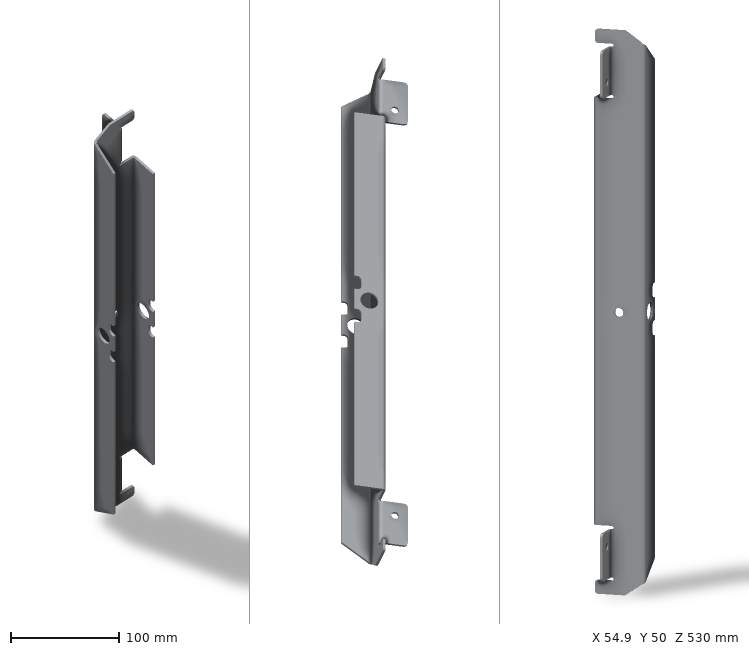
import cadquery as cq
import math

thickness = 2.5
inner_radius = 1.0
outer_radius = inner_radius + thickness
length = 530.0
depth = 50.0
flange_reach = 30.0
tab_reach = 24.85
half_length = length / 2

slant_slope = 0.67
slant_start_y = 19.2

tab_bottom = 204.0
tab_top = 249.0
tab_face_y = 35.0
tab_bend_y = tab_face_y - outer_radius
tab_corner_radius = 4.0
tab_hole_diameter = 7.0
tab_hole_x = -12.5
tab_hole_z = 218.0

notch_bottom = 200.5
notch_top = 252.0
relief_floor_y = 30.2
arm_tip_y = 48.4
arm_corner_radius = 3.0

web_hole_diameter = 8.5
flange_hole_diameter = 17.0
flange_hole_x = 16.0
slot_width = 14.0
slot_depth = 6.5
slot_offset = 17.75
slot_corner_radius = 4.0


def box(x_range, y_range, z_range):
    """Axis-aligned block from its limits along X, Y and Z."""
    size = [high - low for low, high in (x_range, y_range, z_range)]
    corner = (x_range[0], y_range[0], z_range[0])
    return cq.Workplane("XY").box(*size, centered=False).translate(corner)


def make_channel():
    """Full-length U channel with rounded bends."""
    outer = box((0, flange_reach), (0, depth), (-half_length, half_length))
    outer = outer.edges("|Z and <X").fillet(outer_radius)
    inner = box((thickness, flange_reach), (thickness, depth - thickness), (-half_length, half_length))
    inner = inner.edges("|Z and <X").fillet(inner_radius)
    return outer.cut(inner)


def slant_waste():
    """Waste above the slanted upper end: web, front bend and front flange parts.

    The cut is straight in the flat sheet, so it also falls along the bend.
    """
    mid_radius = inner_radius + thickness / 2
    web_end_z = half_length - slant_slope * (slant_start_y - outer_radius)
    flange_start_z = web_end_z - slant_slope * mid_radius * math.pi / 2
    flange_end_z = flange_start_z - slant_slope * (flange_reach - outer_radius)

    web_waste = (
        cq.Workplane("YZ")
        .polyline([(slant_start_y, half_length), (outer_radius, web_end_z), (outer_radius, half_length)])
        .close()
        .extrude(outer_radius)
    )
    flange_waste = (
        cq.Workplane("XZ")
        .polyline([
            (outer_radius, half_length),
            (outer_radius, flange_start_z),
            (flange_reach, flange_end_z),
            (flange_reach, half_length),
        ])
        .close()
        .extrude(-outer_radius)
    )
    bend_run = outer_radius * math.sqrt(2)
    bend_plane = cq.Plane(
        origin=(outer_radius / 2, outer_radius / 2, 0), xDir=(1, -1, 0), normal=(-1, -1, 0)
    )
    bend_waste = (
        cq.Workplane(bend_plane)
        .polyline([
            (-bend_run / 2, web_end_z),
            (bend_run / 2, flange_start_z),
            (bend_run / 2, half_length),
            (-bend_run / 2, half_length),
        ])
        .close()
        .extrude(bend_run, both=True)
        .intersect(box((0, outer_radius), (0, outer_radius), (0, half_length)))
    )
    return web_waste.union(bend_waste).union(flange_waste)


def relief_slot(z_bottom, z_top):
    """Slot with a round floor that frees one end of the tab bend."""
    radius = (z_top - z_bottom) / 2
    z_middle = (z_bottom + z_top) / 2
    center_y = relief_floor_y + radius
    round_floor = cq.Workplane("YZ").center(center_y, z_middle).circle(radius).extrude(thickness)
    return round_floor.union(box((0, thickness), (center_y, depth), (z_bottom, z_top)))


def rear_waste():
    """Rear part of the upper end, down to the tab bend, with the two relief slots."""
    waste = box((0, flange_reach), (tab_bend_y, depth), (notch_bottom, half_length))
    waste = waste.union(relief_slot(notch_bottom, tab_bottom))
    return waste.union(relief_slot(tab_top, notch_top))


def make_arm():
    """Flat arm of the web above the upper tab, with rounded tip corners."""
    arm = box((0, thickness), (tab_bend_y, arm_tip_y), (notch_top, half_length))
    return arm.edges("|X and >Y").fillet(arm_corner_radius)


def make_tab():
    """Upper mounting tab, bent from the web towards -X."""
    inner_face_y = tab_face_y - thickness
    bend_center = (-inner_radius, tab_bend_y)
    diagonal = math.sqrt(0.5)
    outer_mid = (bend_center[0] + outer_radius * diagonal, bend_center[1] + outer_radius * diagonal)
    inner_mid = (bend_center[0] + inner_radius * diagonal, bend_center[1] + inner_radius * diagonal)
    tab = (
        cq.Workplane("XY", origin=(0, 0, tab_bottom))
        .moveTo(0, tab_bend_y)
        .lineTo(thickness, tab_bend_y)
        .threePointArc(outer_mid, (-inner_radius, tab_face_y))
        .lineTo(-tab_reach, tab_face_y)
        .lineTo(-tab_reach, inner_face_y)
        .lineTo(-inner_radius, inner_face_y)
        .threePointArc(inner_mid, (0, tab_bend_y))
        .close()
        .extrude(tab_top - tab_bottom)
    )
    tab = tab.edges("|Y and <X").fillet(tab_corner_radius)
    return tab.cut(cross_hole(tab_hole_x, tab_hole_z, tab_hole_diameter))


def cross_hole(x, z, diameter):
    """Cylinder along Y through the whole depth."""
    return cq.Workplane("XZ").center(x, z).circle(diameter / 2).extrude(-depth)


def edge_slot(z):
    """Slot open at the free flange edges, with rounded inner corners."""
    z_range = (z - slot_width / 2, z + slot_width / 2)
    slot = box((flange_reach - slot_depth, flange_reach), (0, depth), z_range)
    return slot.edges("|Y and <X").fillet(slot_corner_radius)


def mirrored(upper):
    """Copy of an upper-end feature for the lower end."""
    return upper.mirror("XY")


result = make_channel()

end_waste = slant_waste().union(rear_waste())
upper_additions = make_tab().union(make_arm())
result = result.cut(end_waste).cut(mirrored(end_waste))
result = result.union(upper_additions).union(mirrored(upper_additions))

web_hole = cq.Workplane("YZ").center(depth / 2, 0).circle(web_hole_diameter / 2).extrude(thickness)
result = result.cut(web_hole)
result = result.cut(cross_hole(flange_hole_x, 0, flange_hole_diameter))
for side in (-1, 1):
    result = result.cut(edge_slot(side * slot_offset))